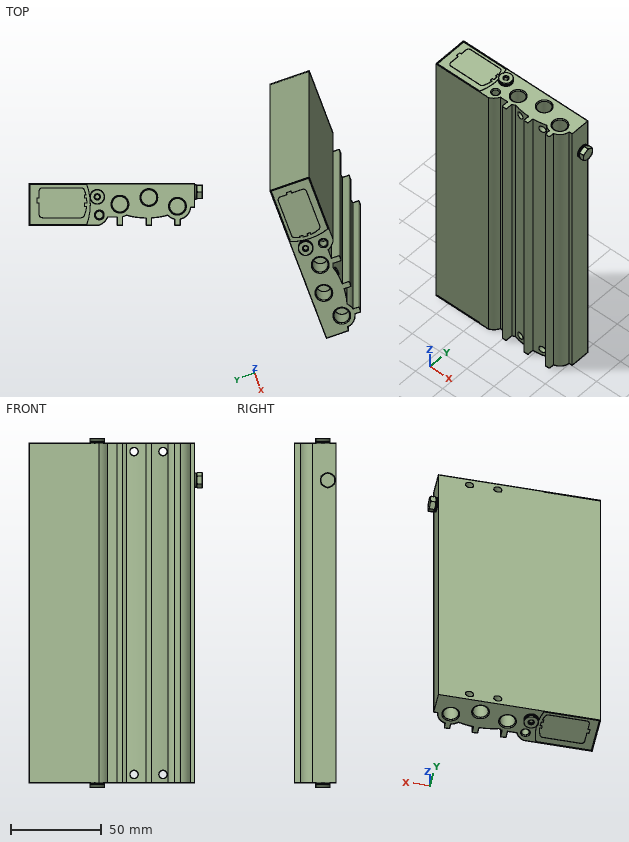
import cadquery as cq
import math

TOTAL_X = 95.5
TOTAL_Y = 23.0
TOTAL_Z = 192.0
LEFT = -TOTAL_X / 2
BACK = TOTAL_Y / 2
FRONT = -TOTAL_Y / 2

PLUG_X = -10.2
PLUG_Y = 4.2
PLUG_DIAMETER = 8.0
PLUG_HEIGHT = 2.5
PLUG_GROOVE_DIAMETER = 7.7
PLUG_GROOVE_WIDTH = 0.5
PLUG_GROOVE_START = 0.5
SOCKET_WIDTH = 2.5
SOCKET_DEPTH = 1.2
SOCKET_MOUTH_DIAMETER = 3.5
SOCKET_MOUTH_DEPTH = (SOCKET_MOUTH_DIAMETER - SOCKET_WIDTH) / 2

HEX_PLUG_Y = 7.0
HEX_PLUG_Z = 73.2
HEX_PLUG_LENGTH = 4.2
HEX_CORNER_DIAMETER = 8.6
HEX_CHAMFER = 0.4
WASHER_DIAMETER = 8.0
WASHER_THICKNESS = 0.5
NECK_DIAMETER = 7.7
NECK_LENGTH = 0.5

HOUSING_LENGTH = TOTAL_Z - 2 * PLUG_HEIGHT
HOUSING_TOP = HOUSING_LENGTH / 2
RIGHT = TOTAL_X / 2 - HEX_PLUG_LENGTH
BLOCK_END_X = -9.2
BLOCK_CURVE_MID = (-7.0, -10.2)
WEB_START_X = -4.5
WEB_Y = -7.0
STEP_Y = -1.5
BULGE_END_Y = -6.0
BULGE_Y = -7.5
OUTER_WALL_RADIUS = 7.3
FIN_WIDTH = 3.0
FIN_TIP_RADIUS = 0.35

BORE_CENTRES = [(2.3, 0.2), (18.2, 3.8), (34.0, -1.0)]
BORE_DIAMETER = 8.6
BORE_DEPTH = 15.4
BORE_CHAMFER = 0.5

PORT_CENTRE = (-9.0, -5.8)
PORT_DIAMETER = 4.2
PORT_DEPTH = 9.6

MOUNT_X = [57.8 + LEFT, 73.7 + LEFT]
MOUNT_Z = 88.9
MOUNT_DIAMETER = 4.5

RIM = 0.5
RECESS_DEPTH = 0.1
RECESS_END_X = -16.0
RECESS_BULGE_X = -14.0
WINDOW_DEPTH = 0.1
WINDOW_LEFT = -42.2
WINDOW_END_X = -17.9
WINDOW_BULGE_X = -16.0
WINDOW_BACK = 9.2
WINDOW_FRONT = -7.3
WINDOW_RADIUS = 2.0
TAB_Y = 2.1
TAB_WIDTH = 2.7
TAB_LENGTH = 1.2
KEY_WIDTH = 1.7
KEY_LENGTH = 1.2


def point_on_circle(centre, radius, x=None, y=None, x_side=1):
    """Point of a circle at a given x (on its front half) or at a given y (on one x side)."""
    if y is None:
        return x, centre[1] - math.sqrt(radius**2 - (x - centre[0]) ** 2)
    return centre[0] + x_side * math.sqrt(radius**2 - (y - centre[1]) ** 2), y


def front_of(centre, radius):
    return centre[0], centre[1] - radius


def make_profile():
    """Cross-section of the extrusion without fins: block, flat web and walls round the bores."""
    left_bore, middle_bore, right_bore = BORE_CENTRES
    left_radius = left_bore[1] - WEB_Y
    bulge_start = point_on_circle(left_bore, left_radius, y=BULGE_END_Y)
    bulge_end = point_on_circle(right_bore, OUTER_WALL_RADIUS, y=BULGE_END_Y, x_side=-1)
    wall_end = point_on_circle(right_bore, OUTER_WALL_RADIUS, y=STEP_Y)
    left_wall_mid = point_on_circle(left_bore, left_radius, x=(left_bore[0] + bulge_start[0]) / 2)
    return (
        cq.Workplane("XY", origin=(0, 0, -HOUSING_TOP))
        .moveTo(LEFT, BACK)
        .lineTo(LEFT, FRONT)
        .lineTo(BLOCK_END_X, FRONT)
        .threePointArc(BLOCK_CURVE_MID, (WEB_START_X, WEB_Y))
        .lineTo(left_bore[0], WEB_Y)
        .threePointArc(left_wall_mid, bulge_start)
        .threePointArc((middle_bore[0], BULGE_Y), bulge_end)
        .threePointArc(front_of(right_bore, OUTER_WALL_RADIUS), wall_end)
        .lineTo(RIGHT, STEP_Y)
        .lineTo(RIGHT, BACK)
        .close()
    )


def make_fin(bore_centre):
    """Full-length fin with a rounded tip, reaching back to the front edge of its bore."""
    fin_back = bore_centre[1] - BORE_DIAMETER / 2 - BORE_CHAMFER
    fin = cq.Workplane("XY").box(
        FIN_WIDTH, fin_back - FRONT, HOUSING_LENGTH, centered=(True, False, True)
    )
    fin = fin.edges("|Z and <Y").fillet(FIN_TIP_RADIUS)
    return fin.translate((bore_centre[0], FRONT, 0))


def make_end_bore(centre, diameter, depth):
    """Cutter for a blind bore in the top end, widened by a chamfer at its mouth."""
    radius = diameter / 2
    mouth_radius = radius + BORE_CHAMFER
    section = [
        (0, HOUSING_TOP),
        (mouth_radius, HOUSING_TOP),
        (radius, HOUSING_TOP - BORE_CHAMFER),
        (radius, HOUSING_TOP - depth),
        (0, HOUSING_TOP - depth),
    ]
    bore = cq.Workplane("XZ").polyline(section).close().revolve(360, (0, 0), (0, 1))
    return bore.translate((*centre, 0))


def make_mounting_holes():
    places = [(x, z) for x in MOUNT_X for z in (-MOUNT_Z, MOUNT_Z)]
    return (
        cq.Workplane("XZ", origin=(0, BACK, 0))
        .pushPoints(places)
        .circle(MOUNT_DIAMETER / 2)
        .extrude(TOTAL_Y)
    )


def make_end_recess():
    """Cutter for the top end: bulging recess inside the rim, and the keyed window in its floor."""
    recess_floor = HOUSING_TOP - RECESS_DEPTH
    window_floor = recess_floor - WINDOW_DEPTH
    recess = (
        cq.Workplane("XY", origin=(0, 0, recess_floor))
        .moveTo(LEFT + RIM, BACK - RIM)
        .lineTo(LEFT + RIM, FRONT + RIM)
        .lineTo(RECESS_END_X, FRONT + RIM)
        .threePointArc((RECESS_BULGE_X, 0), (RECESS_END_X, BACK - RIM))
        .close()
        .extrude(RECESS_DEPTH)
    )
    window = (
        cq.Workplane("XY", origin=(0, 0, window_floor))
        .moveTo(WINDOW_LEFT, WINDOW_BACK)
        .lineTo(WINDOW_LEFT, WINDOW_FRONT)
        .lineTo(WINDOW_END_X, WINDOW_FRONT)
        .threePointArc((WINDOW_BULGE_X, (WINDOW_BACK + WINDOW_FRONT) / 2), (WINDOW_END_X, WINDOW_BACK))
        .close()
        .extrude(WINDOW_DEPTH)
        .edges("|Z")
        .fillet(WINDOW_RADIUS)
    )
    tab = cq.Workplane("XY").box(
        2 * TAB_LENGTH, TAB_WIDTH, WINDOW_DEPTH, centered=(True, True, False)
    ).translate((WINDOW_LEFT, TAB_Y, window_floor))
    window = window.union(tab)
    key_offset = (TAB_WIDTH + KEY_WIDTH) / 2
    for key_y in (TAB_Y - key_offset, TAB_Y + key_offset):
        key = cq.Workplane("XY").box(
            2 * KEY_LENGTH, KEY_WIDTH, WINDOW_DEPTH, centered=(True, True, False)
        ).translate((WINDOW_BULGE_X, key_y, window_floor))
        window = window.cut(key)
    return recess.union(window)


def make_housing():
    housing = make_profile().extrude(HOUSING_LENGTH)
    for centre in BORE_CENTRES:
        housing = housing.union(make_fin(centre))
    housing = housing.cut(make_mounting_holes())
    top_cutters = [make_end_bore(centre, BORE_DIAMETER, BORE_DEPTH) for centre in BORE_CENTRES]
    top_cutters.append(make_end_bore(PORT_CENTRE, PORT_DIAMETER, PORT_DEPTH))
    top_cutters.append(make_end_recess())
    for cutter in top_cutters:
        housing = housing.cut(cutter).cut(cutter.mirror("XY"))
    return housing


def make_screw_plug():
    """Round plug on the top end, with a shallow groove round it and a countersunk hexagon socket."""
    plug = cq.Workplane("XY").circle(PLUG_DIAMETER / 2).extrude(PLUG_HEIGHT)
    groove = (
        cq.Workplane("XY", origin=(0, 0, PLUG_GROOVE_START))
        .circle(PLUG_DIAMETER / 2)
        .circle(PLUG_GROOVE_DIAMETER / 2)
        .extrude(PLUG_GROOVE_WIDTH)
    )
    socket = (
        cq.Workplane("XY", origin=(0, 0, PLUG_HEIGHT))
        .polygon(6, SOCKET_WIDTH, circumscribed=True)
        .extrude(-SOCKET_DEPTH)
    )
    mouth = (
        cq.Workplane("XY", origin=(0, 0, PLUG_HEIGHT))
        .circle(SOCKET_MOUTH_DIAMETER / 2)
        .workplane(offset=-SOCKET_MOUTH_DEPTH)
        .circle(SOCKET_WIDTH / 2)
        .loft()
    )
    return plug.cut(groove).cut(socket).cut(mouth).translate((PLUG_X, PLUG_Y, HOUSING_TOP))


def make_hex_plug():
    """Washer, neck and chamfered hexagon head on the right side, with corners towards +Z and -Z."""
    head_start = WASHER_THICKNESS + NECK_LENGTH
    head_length = HEX_PLUG_LENGTH - head_start
    washer = cq.Workplane("YZ").circle(WASHER_DIAMETER / 2).extrude(WASHER_THICKNESS)
    neck = cq.Workplane("YZ").circle(NECK_DIAMETER / 2).extrude(head_start)
    prism = (
        cq.Workplane("YZ", origin=(head_start, 0, 0))
        .transformed(rotate=(0, 0, 90))
        .polygon(6, HEX_CORNER_DIAMETER)
        .extrude(head_length)
    )
    envelope = (
        cq.Workplane("YZ", origin=(head_start, 0, 0))
        .circle(HEX_CORNER_DIAMETER / 2)
        .extrude(head_length)
        .faces("<X or >X")
        .chamfer(HEX_CHAMFER)
    )
    head = prism.intersect(envelope)
    return washer.union(neck).union(head).translate((RIGHT, HEX_PLUG_Y, HEX_PLUG_Z))


housing = make_housing()
top_plug = make_screw_plug()
screw_plugs = [top_plug, top_plug.mirror("XY")]
hex_plug = make_hex_plug()

result = cq.Compound.makeCompound([housing.val(), *[plug.val() for plug in screw_plugs], hex_plug.val()])